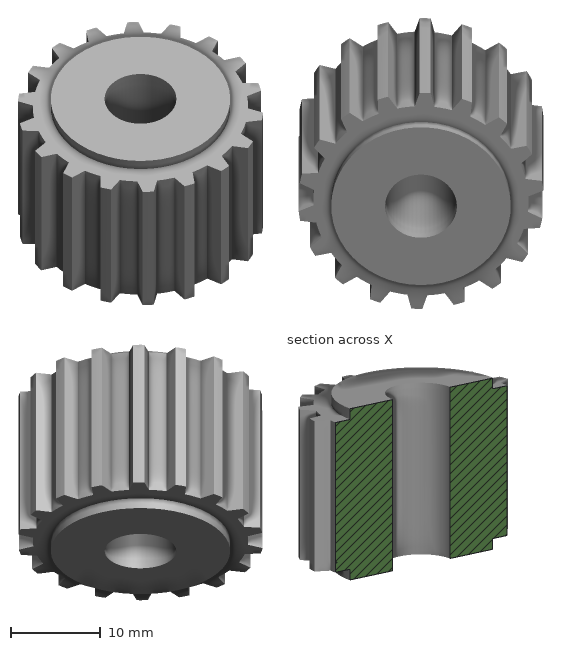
import cadquery as cq
import math

tip_radius = 13.72
root_radius = 12.01
hub_radius = 10.0
bore_radius = 4.0
overall_height = 20.0
toothed_height = 17.5

tooth_count = 18
first_tooth_angle = 0.7
tip_width = 1.23
base_width = 2.22


def cylinder(radius, height):
    """Upright cylinder centred on the origin."""
    return cq.Workplane("XY").circle(radius).extrude(height / 2, both=True)


def make_tooth():
    """Straight-flanked tooth pointing along +X, with a round tip and its foot on the root circle."""
    tip_x = math.sqrt(tip_radius**2 - (tip_width / 2) ** 2)
    base_x = math.sqrt(root_radius**2 - (base_width / 2) ** 2)
    return (
        cq.Workplane("XY")
        .moveTo(hub_radius, -base_width / 2)
        .lineTo(base_x, -base_width / 2)
        .lineTo(tip_x, -tip_width / 2)
        .threePointArc((tip_radius, 0), (tip_x, tip_width / 2))
        .lineTo(base_x, base_width / 2)
        .lineTo(hub_radius, base_width / 2)
        .close()
        .extrude(toothed_height / 2, both=True)
    )


body = cylinder(root_radius, toothed_height)
tooth = make_tooth()
for index in range(tooth_count):
    angle = first_tooth_angle + index * 360 / tooth_count
    body = body.union(tooth.rotate((0, 0, 0), (0, 0, 1), angle))

hub = cylinder(hub_radius, overall_height)
bore = cylinder(bore_radius, overall_height)
result = body.union(hub).cut(bore)